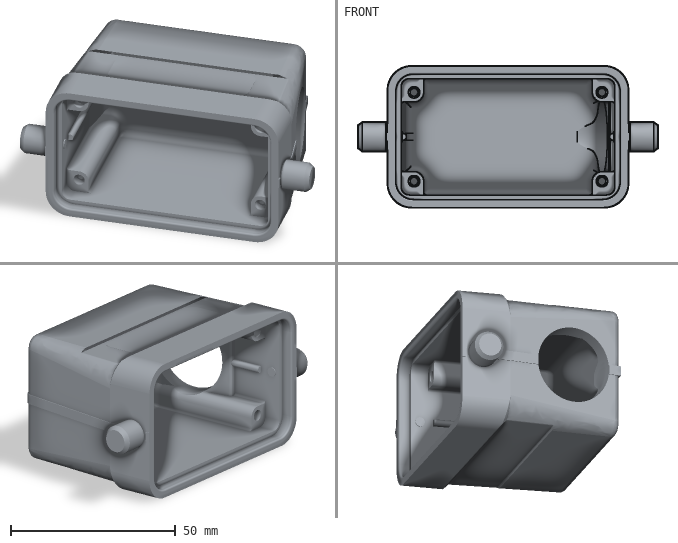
import cadquery as cq
import math


FLANGE_HALF_X = 36.6
FLANGE_HALF_Z = 21.52
FLANGE_LENGTH = 15.1
FLANGE_CORNER = 7.5
BEVEL_START = 12.7
BEVEL_ANGLE = 45.0

BACK_Y = 51.05
BACK_HALF_X = 31.4
BACK_CORNER = 3.8
BACK_ROUND = 1.9
HOOD_HALF_Z = 19.9
PAD_HALF_Z = 19.2
PAD_END_Y = 30.1
PAD_STEP_RUN = 0.4
PAD_EDGE_ROUND = 0.9
TAPER = (FLANGE_HALF_X - BACK_HALF_X) / (BACK_Y - FLANGE_LENGTH)
TAPER_ANGLE = math.degrees(math.atan(TAPER))

LABEL_LENGTH = 44.2
LABEL_WIDTH = 13.2
LABEL_CORNER = 3.0
LABEL_CENTER_Y = 22.6
LABEL_HEIGHT = 0.1

RIB_WIDTH = 3.0
RIB_HEIGHT = 0.3
RIB_CLEARANCE_DIAMETER = 10.2

PIN_Y = 6.23
PIN_TIP_X = 45.5
PIN_DIAMETER = 9.0
PIN_NECK_DIAMETER = 8.0
PIN_NECK_LENGTH = 0.5
PIN_TIP_DIAMETER = 7.0
PIN_TAPER_LENGTH = 1.4
PIN_STUB_DIAMETER = 2.9
PIN_STUB_HEIGHT = 0.3

LIP_HALF_X = 34.0
LIP_HALF_Z = 19.0
LIP_DEPTH = 3.4
LIP_CORNER = 5.4
LIP_ROUND = 0.55
CAVITY_HALF_X = 32.4
CAVITY_HALF_Z = 17.65
CAVITY_CORNER = 2.55
FLOOR_Y = 45.9
FLOOR_FILLET = 1.9
LEFT_FOOT_X = 30.8
STEP_Y = 20.4
STEP_X = 31.0
STEP_CHAMFER = 0.55
RIGHT_FOOT_X = 26.9

POST_FACE_Y = 8.78
POST_X = 28.5
POST_Z = 13.5
POST_RADIUS = 2.9
POST_ROOT_FILLET = 0.7
SCREW_HOLE_DIAMETER = 2.5
SCREW_HOLE_DEPTH = 18.2
SCREW_LEAD_DIAMETER = 3.5
SCREW_LEAD_DEPTH = 2.7

GUIDE_START_Y = 10.33
GUIDE_HEIGHT = 1.59
GUIDE_WIDTH = 2.0
GUIDE_TIP_ROUND = 0.9

ENTRY_DIAMETER = 23.6
ENTRY_X = 28.4
ENTRY_Y = 35.1
ENTRY_INNER_REACH = 5.8
ENTRY_OUTER_REACH = 18.2


def rounded_block(half_x, half_z, corner, start_y, end_y):
    """Block along Y whose four long edges are rounded."""
    return (
        cq.Workplane("XY")
        .box(2 * half_x, end_y - start_y, 2 * half_z)
        .edges("|Y")
        .fillet(corner)
        .translate((0, (start_y + end_y) / 2, 0))
    )


def prism(points, half_z):
    """Solid with an XY outline, centred on the middle plane."""
    return cq.Workplane("XY").polyline(points).close().extrude(half_z, both=True)


def rounded_rectangle(half_x, half_z, corner):
    return cq.Sketch().rect(2 * half_x, 2 * half_z).vertices().fillet(corner)


def make_flange():
    """Rounded block bevelled above and below, and around its corners down to the hood outline."""
    flange = rounded_block(FLANGE_HALF_X, FLANGE_HALF_Z, FLANGE_CORNER, 0, FLANGE_LENGTH)
    side_profile = (
        cq.Workplane("YZ")
        .polyline([
            (0, -FLANGE_HALF_Z),
            (BEVEL_START, -FLANGE_HALF_Z),
            (FLANGE_LENGTH, -PAD_HALF_Z),
            (FLANGE_LENGTH, PAD_HALF_Z),
            (BEVEL_START, FLANGE_HALF_Z),
            (0, FLANGE_HALF_Z),
        ])
        .close()
        .extrude(FLANGE_HALF_X, both=True)
    )
    corner_bevel = (
        cq.Workplane("XZ", origin=(0, FLANGE_LENGTH, 0))
        .placeSketch(rounded_rectangle(FLANGE_HALF_X, HOOD_HALF_Z, FLANGE_CORNER))
        .extrude(FLANGE_LENGTH, taper=-BEVEL_ANGLE)
    )
    return flange.intersect(side_profile).intersect(corner_bevel)


def make_hood():
    """Tapered hood with a shallow pad cut above and below."""
    hood = (
        cq.Workplane("XZ", origin=(0, FLANGE_LENGTH, 0))
        .placeSketch(
            rounded_rectangle(FLANGE_HALF_X, HOOD_HALF_Z, FLANGE_CORNER),
            rounded_rectangle(BACK_HALF_X, HOOD_HALF_Z, BACK_CORNER).moved(
                cq.Location(cq.Vector(0, 0, FLANGE_LENGTH - BACK_Y))
            ),
        )
        .loft(ruled=True)
    )
    hood = hood.faces(">Y").edges().fillet(BACK_ROUND)
    for side in (1, -1):
        pad_cut = (
            cq.Workplane("YZ")
            .polyline([
                (FLANGE_LENGTH, side * PAD_HALF_Z),
                (PAD_END_Y, side * PAD_HALF_Z),
                (PAD_END_Y + PAD_STEP_RUN, side * HOOD_HALF_Z),
                (FLANGE_LENGTH, side * HOOD_HALF_Z),
            ])
            .close()
            .extrude(FLANGE_HALF_X, both=True)
        )
        hood = hood.cut(pad_cut)
    for side in (1, -1):
        pad_plane = cq.selectors.BoxSelector(
            (-FLANGE_HALF_X, FLANGE_LENGTH - 0.9, side * PAD_HALF_Z - 0.1),
            (FLANGE_HALF_X, PAD_END_Y + 0.1, side * PAD_HALF_Z + 0.1),
            boundingbox=True,
        )
        hood = hood.edges(pad_plane).edges("not |X").fillet(PAD_EDGE_ROUND)
    return hood


def make_label():
    return (
        cq.Workplane("XY", origin=(0, LABEL_CENTER_Y, PAD_HALF_Z))
        .rect(LABEL_LENGTH, LABEL_WIDTH)
        .extrude(LABEL_HEIGHT)
        .edges("|Z")
        .fillet(LABEL_CORNER)
    )


def make_parting_rib():
    front_x = FLANGE_HALF_X + RIB_HEIGHT
    back_x = BACK_HALF_X + RIB_HEIGHT
    back_y = BACK_Y + RIB_HEIGHT
    rib = prism(
        [
            (-front_x, 0),
            (front_x, 0),
            (front_x, FLANGE_LENGTH),
            (back_x, back_y),
            (-back_x, back_y),
            (-front_x, FLANGE_LENGTH),
        ],
        RIB_WIDTH / 2,
    )
    rib = rib.edges("|Z").edges(">Y").edges("<X").fillet(BACK_ROUND + RIB_HEIGHT)
    ends = (
        cq.Workplane("YZ", origin=(0, PIN_Y, 0))
        .circle(RIB_CLEARANCE_DIAMETER / 2)
        .extrude(front_x, both=True)
    )
    return rib.cut(ends)


def make_pin():
    """Pin on the +X side: neck, shank and tapered tip."""
    shank_x = FLANGE_HALF_X + PIN_NECK_LENGTH
    return (
        cq.Workplane("XY")
        .polyline([
            (CAVITY_HALF_X + 0.9, 0),
            (CAVITY_HALF_X + 0.9, PIN_NECK_DIAMETER / 2),
            (shank_x, PIN_NECK_DIAMETER / 2),
            (shank_x, PIN_DIAMETER / 2),
            (PIN_TIP_X - PIN_TAPER_LENGTH, PIN_DIAMETER / 2),
            (PIN_TIP_X - PIN_TAPER_LENGTH / 2, PIN_NECK_DIAMETER / 2),
            (PIN_TIP_X, PIN_TIP_DIAMETER / 2),
            (PIN_TIP_X, 0),
        ])
        .close()
        .revolve(360, (0, 0, 0), (1, 0, 0))
        .translate((0, PIN_Y, 0))
    )


def make_pin_stub():
    """Riveted inner end of the +X pin, just proud of the cavity wall."""
    return (
        cq.Workplane("YZ", origin=(CAVITY_HALF_X - PIN_STUB_HEIGHT, PIN_Y, 0))
        .circle(PIN_STUB_DIAMETER / 2)
        .extrude(PIN_STUB_HEIGHT + 0.9)
    )


def make_lip_recess():
    return (
        cq.Workplane("XZ")
        .placeSketch(rounded_rectangle(LIP_HALF_X, LIP_HALF_Z, LIP_CORNER))
        .extrude(-LIP_DEPTH)
    )


def round_lip(body):
    """Round the inner edge of the open face."""
    corner = (LIP_HALF_X + LIP_ROUND, LIP_ROUND, LIP_HALF_Z + LIP_ROUND)
    opposite = tuple(-value for value in corner)
    inside = cq.selectors.BoxSelector(opposite, corner, boundingbox=True)
    return body.faces("<Y").edges(inside).fillet(LIP_ROUND)


def make_post(side_x, side_z):
    """Corner post with a quarter-round inner edge about the screw axis."""
    outer_x = FLANGE_HALF_X
    outer_z = HOOD_HALF_Z
    arc_dip = POST_RADIUS * math.sqrt(0.5)
    return (
        cq.Workplane("XZ", origin=(0, POST_FACE_Y, 0))
        .moveTo(side_x * outer_x, side_z * outer_z)
        .lineTo(side_x * (POST_X - POST_RADIUS), side_z * outer_z)
        .lineTo(side_x * (POST_X - POST_RADIUS), side_z * POST_Z)
        .threePointArc(
            (side_x * (POST_X - arc_dip), side_z * (POST_Z - arc_dip)),
            (side_x * POST_X, side_z * (POST_Z - POST_RADIUS)),
        )
        .lineTo(side_x * outer_x, side_z * (POST_Z - POST_RADIUS))
        .close()
        .extrude(POST_FACE_Y - BACK_Y)
    )


def make_cavity():
    left_kink_y = FLOOR_Y - (CAVITY_HALF_X - LEFT_FOOT_X) / TAPER
    cavity = prism(
        [
            (-CAVITY_HALF_X, POST_FACE_Y),
            (CAVITY_HALF_X, POST_FACE_Y),
            (CAVITY_HALF_X, STEP_Y),
            (STEP_X, STEP_Y),
            (STEP_X - STEP_CHAMFER, STEP_Y + STEP_CHAMFER),
            (RIGHT_FOOT_X, FLOOR_Y),
            (-LEFT_FOOT_X, FLOOR_Y),
            (-CAVITY_HALF_X, left_kink_y),
        ],
        CAVITY_HALF_Z,
    )
    for side_x in (1, -1):
        for side_z in (1, -1):
            cavity = cavity.cut(make_post(side_x, side_z))
    long_edges = cavity.edges("|Y")
    z_roots = long_edges.edges("<Z or >Z")
    x_roots = long_edges.edges("<X or >X")
    cavity = z_roots.add(x_roots).fillet(POST_ROOT_FILLET)
    cavity = cavity.faces(">Y").edges().fillet(FLOOR_FILLET)
    mouth = rounded_block(CAVITY_HALF_X, CAVITY_HALF_Z, CAVITY_CORNER, 0, POST_FACE_Y)
    return cavity.union(mouth).union(make_lip_recess())


def make_screw_hole(x, z):
    lead = (
        cq.Workplane("XZ", origin=(x, POST_FACE_Y, z))
        .circle(SCREW_LEAD_DIAMETER / 2)
        .extrude(-SCREW_LEAD_DEPTH)
    )
    hole = (
        cq.Workplane("XZ", origin=(x, POST_FACE_Y, z))
        .circle(SCREW_HOLE_DIAMETER / 2)
        .extrude(-SCREW_HOLE_DEPTH)
    )
    return lead.union(hole)


def make_guide_rib(side, end_y):
    """Rib down the middle of one cavity end wall, rounded along its inner edge."""
    tip_x = CAVITY_HALF_X - GUIDE_HEIGHT
    rib = (
        cq.Workplane("XZ", origin=(0, GUIDE_START_Y, 0))
        .center((tip_x + CAVITY_HALF_X) / 2, 0)
        .rect(GUIDE_HEIGHT, GUIDE_WIDTH)
        .extrude(GUIDE_START_Y - end_y)
        .edges("|Y and <X")
        .fillet(GUIDE_TIP_ROUND)
    )
    return rib if side > 0 else rib.mirror("YZ")


def make_guide_foot():
    """Concave foot where the -X guide rib runs out into the cavity floor."""
    tip_x = CAVITY_HALF_X - GUIDE_HEIGHT
    buried_x = tip_x + GUIDE_HEIGHT / 2
    arc_dip = FLOOR_FILLET * (1 - math.sqrt(0.5))
    return (
        cq.Workplane("XY")
        .moveTo(-buried_x, FLOOR_Y)
        .lineTo(-buried_x, FLOOR_Y - FLOOR_FILLET)
        .lineTo(-tip_x, FLOOR_Y - FLOOR_FILLET)
        .threePointArc(
            (-tip_x + arc_dip, FLOOR_Y - arc_dip),
            (-tip_x + FLOOR_FILLET, FLOOR_Y),
        )
        .close()
        .extrude(GUIDE_WIDTH / 2, both=True)
    )


def make_cable_entry():
    slope = math.radians(TAPER_ANGLE)
    axis = cq.Vector(math.cos(slope), math.sin(slope), 0)
    start = cq.Vector(ENTRY_X, ENTRY_Y, 0) - axis * ENTRY_INNER_REACH
    length = ENTRY_INNER_REACH + ENTRY_OUTER_REACH
    return cq.Workplane("XY").add(cq.Solid.makeCylinder(ENTRY_DIAMETER / 2, length, start, axis))


body = make_flange().union(make_hood()).union(make_parting_rib()).union(make_label())
body = body.union(make_pin()).union(make_pin().mirror("YZ"))
body = body.cut(make_cavity())
body = round_lip(body)
body = body.union(make_guide_rib(1, STEP_Y + 0.9)).union(make_guide_rib(-1, FLOOR_Y - FLOOR_FILLET))
body = body.union(make_guide_foot())
body = body.union(make_pin_stub()).union(make_pin_stub().mirror("YZ"))
for x in (POST_X, -POST_X):
    for z in (POST_Z, -POST_Z):
        body = body.cut(make_screw_hole(x, z))
body = body.cut(make_cable_entry())

result = body